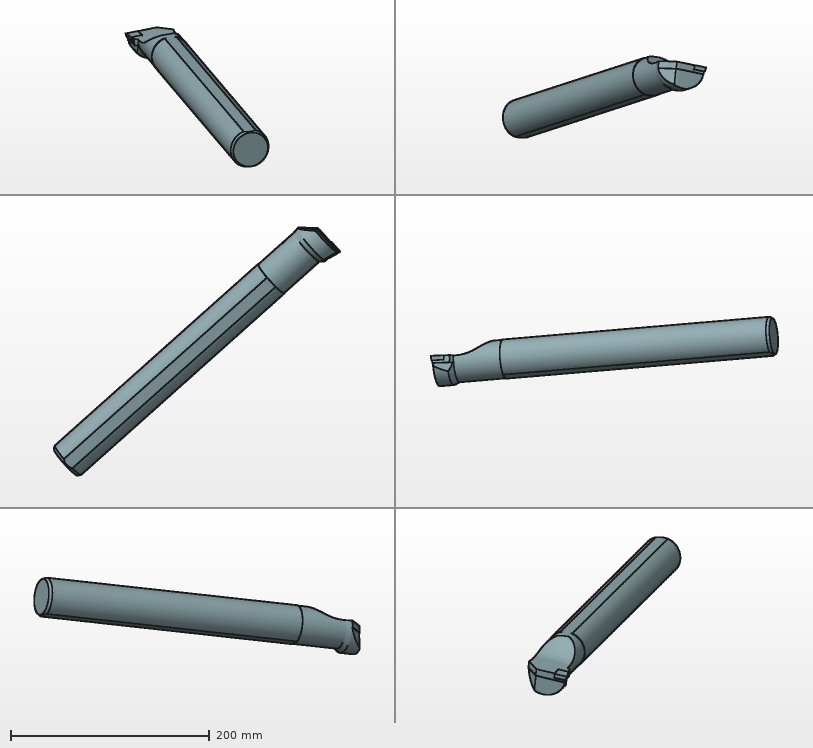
import cadquery as cq
import math

bar_length = 350.0
shank_start = 70.0
shank_radius = 20.0
flat_height = 19.0
tail_chamfer_length = 3.0
tail_chamfer_depth = 1.8

neck_radius = 19.5
head_radius = 22.8
head_offset = -2.5
head_end = 16.0
shoulder_end = 21.7

rake_tilt = 6.0
rake_height = 3.5
clear = 42.0

lip_thickness = 7.5
lip_front = 0.7
relief_step = 0.7
lip_side_front = -25.0
lip_side_rear = -23.0
relief_side_front = -24.5
relief_side_rear = -20.5
relief_side_bend = 19.2
facet_start = 3.0
facet_end = 6.5
facet_depth = 0.5
corner_length = 4.0
corner_width = 3.8

scoop_wall_foot = 41.3
scoop_wall_angle = 38.7
scoop_fillet = 28.0

insert_length = 12.5
insert_thickness = 4.5
insert_inner_front = -13.3
insert_inner_rear = -12.5
insert_tip = -26.5
insert_outer_rear = -24.0
insert_lean = 1.0


def on_rake_face(body):
    """Move a body from the flat outline frame onto the tilted rake face."""
    return body.rotate((0, 0, 0), (1, 0, 0), rake_tilt).translate((0, 0, rake_height))


def plate(points, bottom, top):
    """Extrude a closed outline between two heights and set it on the rake face."""
    flat_plate = cq.Workplane("XY").workplane(offset=bottom).polyline(points).close().extrude(top - bottom)
    return on_rake_face(flat_plate)


def make_shank():
    tail_start = bar_length - tail_chamfer_length
    profile = [
        (shank_start, 0),
        (shank_start, shank_radius),
        (tail_start, shank_radius),
        (bar_length, shank_radius - tail_chamfer_depth),
        (bar_length, 0),
    ]
    shank = cq.Workplane("XY").polyline(profile).close().revolve(360, (0, 0, 0), (1, 0, 0))
    flats = cq.Workplane("XY").box(2 * bar_length, 2 * clear, 2 * flat_height)
    return shank.intersect(flats)


def head_outline(front, side_front, bend, side_rear):
    """Plan outline of the head with its bevelled corner; it leaves the neck clear."""
    corner_x = front + facet_depth
    return [
        (front, side_front),
        (bend, side_rear),
        (shank_start, side_rear),
        (shank_start, clear),
        (corner_x + corner_length * (clear - facet_end) / corner_width, clear),
        (corner_x, facet_end),
        (front, facet_start),
    ]


def make_head():
    head = cq.Workplane("YZ").center(head_offset, 0).circle(head_radius).extrude(head_end)
    shoulder = (
        cq.Workplane("YZ", origin=(head_end, head_offset, 0)).circle(head_radius)
        .workplane(offset=shoulder_end - head_end).center(-head_offset, 0).circle(neck_radius)
        .loft(combine=True)
    )
    neck = cq.Workplane("YZ", origin=(shoulder_end, 0, 0)).circle(neck_radius).extrude(shank_start - shoulder_end)
    top_flat = cq.Workplane("XY").box(2 * bar_length, 2 * clear, clear + flat_height)
    top_flat = top_flat.translate((0, 0, (flat_height - clear) / 2))
    lip_outline = head_outline(lip_front, lip_side_front, insert_length, lip_side_rear)
    relief_outline = head_outline(
        lip_front + relief_step, relief_side_front, relief_side_bend, relief_side_rear
    )
    envelope = plate(lip_outline, -lip_thickness, clear).union(plate(relief_outline, -clear, -lip_thickness))
    return head.union(shoulder).union(neck).intersect(top_flat).intersect(envelope)


def make_scoop():
    """Dish cutter: flat floor on the rake face, then a fillet arc into a conical wall."""
    slope = math.radians(scoop_wall_angle)
    arc_start = scoop_wall_foot - scoop_fillet * math.tan(slope / 2)

    def arc_point(angle):
        return arc_start + scoop_fillet * math.sin(angle), scoop_fillet * (1 - math.cos(angle))

    scoop = (
        cq.Workplane("XZ")
        .lineTo(arc_start, 0)
        .threePointArc(arc_point(slope / 2), arc_point(slope))
        .lineTo(scoop_wall_foot + clear / math.tan(slope), clear)
        .lineTo(0, clear)
        .close()
        .revolve(360, (0, 0, 0), (0, 1, 0))
    )
    return on_rake_face(scoop)


def make_insert():
    """Cutting insert whose outer side leans inward below the rake face."""

    def outline(lean):
        return [
            (0, insert_inner_front),
            (insert_length, insert_inner_rear),
            (insert_length, insert_outer_rear + lean),
            (0, insert_tip + lean),
        ]

    body = (
        cq.Workplane("XY").polyline(outline(0)).close()
        .workplane(offset=-insert_thickness).polyline(outline(insert_lean)).close()
        .loft(combine=True, ruled=True)
    )
    return on_rake_face(body)


insert = make_insert()
holder = make_shank().union(make_head()).cut(make_scoop()).cut(insert)

result = cq.Compound.makeCompound([holder.val(), insert.val()])